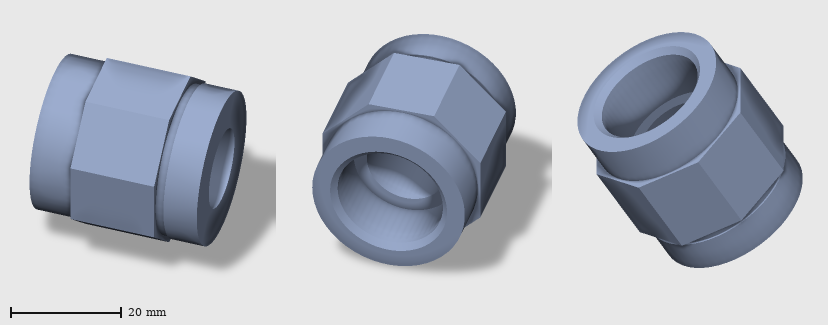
import cadquery as cq
import math

length = 32.0
across_flats = 30.0

front_collar_length = 8.0
octagon_length = 16.0
groove_width = 1.6
rear_collar_length = length - front_collar_length - octagon_length - groove_width

collar_diameter = 29.0
groove_diameter = 28.2

through_diameter = 15.0
socket_diameter = 20.0
socket_depth = 11.2
mouth_diameter = 22.2
mouth_depth = 1.1

front_x = -length / 2
octagon_x = front_x + front_collar_length
groove_x = octagon_x + octagon_length
rear_collar_x = groove_x + groove_width


def cylinder(start_x, diameter, depth):
    """Cylinder about the X axis, running toward +X from start_x."""
    return cq.Workplane("YZ", origin=(start_x, 0, 0)).circle(diameter / 2).extrude(depth)


def octagon_nut():
    """Regular octagonal prism with flats square to Y and Z."""
    across_corners = across_flats / math.cos(math.pi / 8)
    return (
        cq.Workplane("YZ", origin=(octagon_x, 0, 0))
        .transformed(rotate=(0, 0, 22.5))
        .polygon(8, across_corners)
        .extrude(octagon_length)
    )


def mouth_cone():
    """Conical lead-in narrowing from the mouth to the socket."""
    return (
        cq.Workplane("XY")
        .moveTo(front_x, 0)
        .lineTo(front_x, mouth_diameter / 2)
        .lineTo(front_x + mouth_depth, socket_diameter / 2)
        .lineTo(front_x + mouth_depth, 0)
        .close()
        .revolve(360, (0, 0, 0), (1, 0, 0))
    )


body = (
    octagon_nut()
    .union(cylinder(front_x, collar_diameter, front_collar_length))
    .union(cylinder(groove_x, groove_diameter, groove_width))
    .union(cylinder(rear_collar_x, collar_diameter, rear_collar_length))
)

result = (
    body.cut(cylinder(front_x, through_diameter, length))
    .cut(cylinder(front_x, socket_diameter, socket_depth))
    .cut(mouth_cone())
)